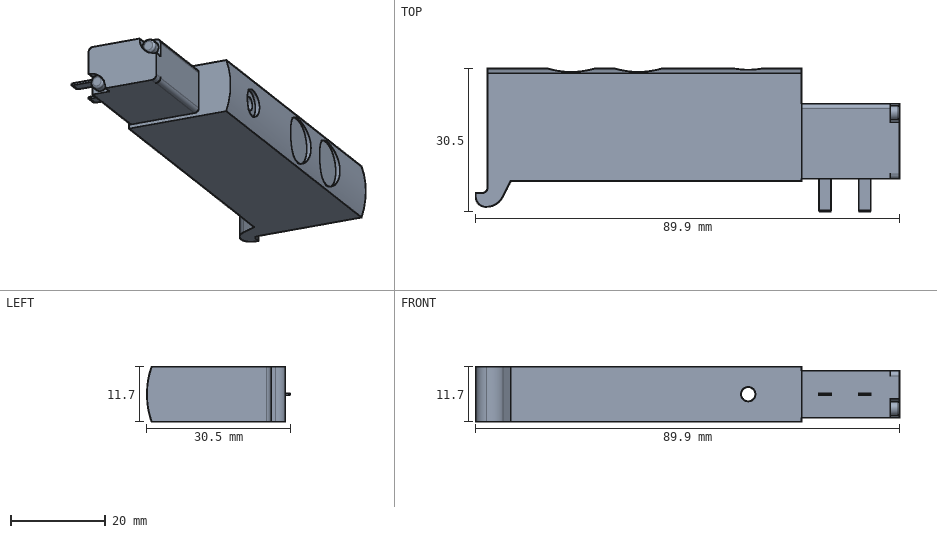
import math

import cadquery as cq

body_length = 66.6
body_depth = 23.9
body_height = 11.7
crown_rise = 1.0

hook_reach = 2.5
hook_drop = 5.5
hook_lip = 3.0
hook_nose_radius = 2.2
hook_back_radius = 4.0
hook_back_angle = math.radians(63)
hook_throat_radius = 1.1
hook_root = 0.5

button_recess_diameter = 10.0
button_recess_centers = (17.75, 32.0)
recess_depth = 1.0
hole_diameter = 3.0
hole_recess_diameter = 6.0
hole_x = 55.3

connector_length = 20.8
connector_depth = 16.0
connector_height = 10.0
connector_y_min = 0.45
connector_edge_fillet = 1.0

corner_length = 2.0
corner_notch_radius = 4.0
corner_round = 1.1
stud_diameter = 3.0
stud_inset = 1.95
stud_fillet = 0.5

blade_width = 2.6
blade_length = 7.0
blade_thickness = 0.5
blade_tip_length = 0.4
blade_tip_inset = 0.15
first_blade_x = 71.6
blade_pitch = 8.4
blade_count = 2

connector_end = body_length + connector_length
connector_y_max = connector_y_min + connector_depth
connector_top = connector_height / 2
connector_mid_y = connector_y_min + connector_depth / 2


def make_body():
    """Block extruded along X, with a circular-arc crown on its +Y side."""
    half_height = body_height / 2
    return (
        cq.Workplane("YZ")
        .moveTo(0, -half_height)
        .lineTo(body_depth - crown_rise, -half_height)
        .threePointArc((body_depth, 0), (body_depth - crown_rise, half_height))
        .lineTo(0, half_height)
        .close()
        .extrude(body_length)
    )


def make_hook():
    """Hook profile in XY, as tall as the body."""
    nose_x = hook_nose_radius - hook_reach
    nose_y = hook_nose_radius - hook_drop
    lip_y = hook_lip - hook_drop
    arc_middle = math.sqrt(0.5)

    def back_point(angle):
        return (
            nose_x + hook_back_radius * math.sin(angle),
            -hook_drop + hook_back_radius * (1 - math.cos(angle)),
        )

    back_end = back_point(hook_back_angle)
    back_top_x = back_end[0] - back_end[1] / math.tan(hook_back_angle)
    throat_middle = hook_throat_radius * (1 - arc_middle)
    return (
        cq.Workplane("XY")
        .workplane(offset=-body_height / 2)
        .moveTo(0, 0)
        .lineTo(0, lip_y + hook_throat_radius)
        .threePointArc(
            (-throat_middle, lip_y + throat_middle),
            (-hook_throat_radius, lip_y),
        )
        .lineTo(-hook_reach, lip_y)
        .lineTo(-hook_reach, nose_y)
        .threePointArc(
            (nose_x - hook_nose_radius * arc_middle, nose_y - hook_nose_radius * arc_middle),
            (nose_x, -hook_drop),
        )
        .threePointArc(back_point(hook_back_angle / 2), back_end)
        .lineTo(back_top_x, 0)
        .lineTo(back_top_x, hook_root)
        .lineTo(0, hook_root)
        .close()
        .extrude(body_height)
    )


def y_cylinder(x, diameter, y_min, y_max):
    """Cylinder along Y at mid-height of the part."""
    return (
        cq.Workplane("XZ", origin=(x, y_max, 0))
        .circle(diameter / 2)
        .extrude(y_max - y_min)
    )


def cut_recesses_and_hole(body):
    recess_floor = body_depth - recess_depth
    for x in button_recess_centers:
        body = body.cut(y_cylinder(x, button_recess_diameter, recess_floor, body_depth))
    body = body.cut(y_cylinder(hole_x, hole_recess_diameter, recess_floor, body_depth))
    return body.cut(y_cylinder(hole_x, hole_diameter, 0, body_depth))


def x_cylinder(y, z, diameter):
    """Cylinder along X as long as the latch corners, ending flush with the connector."""
    return (
        cq.Workplane("YZ", origin=(connector_end - corner_length, y, z))
        .circle(diameter / 2)
        .extrude(corner_length)
    )


def half_turn(shape):
    """Copy turned by 180 degrees about the long axis of the connector."""
    return shape.rotate((0, connector_mid_y, 0), (1, connector_mid_y, 0), 180)


def make_corner_rounding():
    """Material outside a rounded -Y, +Z corner, over the latch corner length."""
    inner_y = connector_y_min + corner_round
    inner_z = connector_top - corner_round
    square = (
        cq.Workplane("YZ", origin=(connector_end - corner_length, connector_y_min, inner_z))
        .rect(corner_round, corner_round, centered=False)
        .extrude(corner_length)
    )
    return square.cut(x_cylinder(inner_y, inner_z, 2 * corner_round))


def make_connector():
    block = (
        cq.Workplane("XY")
        .box(connector_length, connector_depth, connector_height, centered=False)
        .translate((body_length, connector_y_min, -connector_top))
        .edges("|X and >Y")
        .fillet(connector_edge_fillet)
    )
    notch = x_cylinder(connector_y_max, connector_top, 2 * corner_notch_radius)
    stud = (
        x_cylinder(connector_y_max - stud_inset, connector_top - stud_inset, stud_diameter)
        .faces(">X")
        .fillet(stud_fillet)
    )
    rounding = make_corner_rounding()
    block = block.cut(notch).cut(half_turn(notch))
    block = block.cut(rounding).cut(half_turn(rounding))
    return block.union(stud).union(half_turn(stud))


def make_blade(x):
    """Flat blade pointing to -Y with a tapered tip."""
    shank = (
        cq.Workplane("XZ", origin=(x, connector_y_min, 0))
        .rect(blade_width, blade_thickness)
        .extrude(blade_length - blade_tip_length)
    )
    return (
        shank.faces("<Y")
        .workplane(centerOption="CenterOfMass")
        .rect(blade_width, blade_thickness)
        .workplane(offset=blade_tip_length)
        .rect(blade_width - 2 * blade_tip_inset, blade_thickness - 2 * blade_tip_inset)
        .loft(combine=True)
    )


body = cut_recesses_and_hole(make_body().union(make_hook()))
result = body.union(make_connector())
for blade_index in range(blade_count):
    result = result.union(make_blade(first_blade_x + blade_index * blade_pitch))